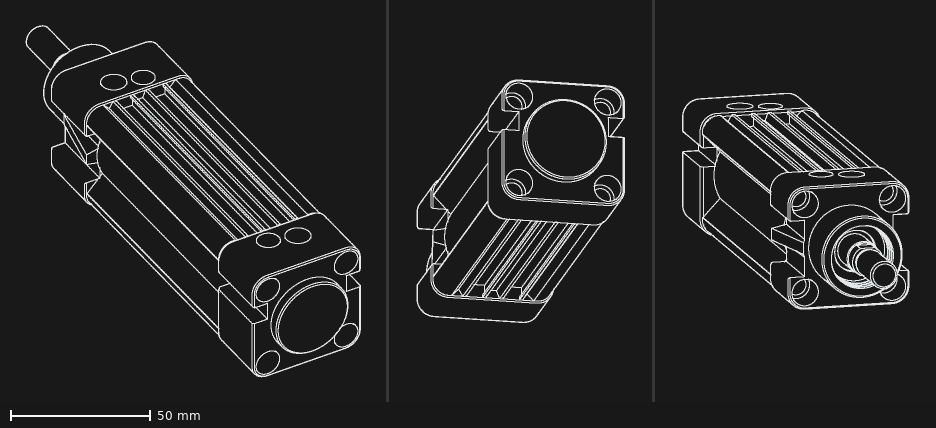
import cadquery as cq
import math


OVERALL_LENGTH = 196.0
SLEEVE_FRONT = 29.5
FRONT_CAP_FACE = 48.0
TUBE_START = 72.7
TUBE_END = 166.6
REAR_CAP_FACE = 191.9

CAP_WIDTH = 45.0
CAP_HALF = CAP_WIDTH / 2
SCREW_OFFSET = 16.3
CAP_CORNER_RADIUS = CAP_HALF - SCREW_OFFSET
CAP_EDGE_CHAMFER = 0.5
REAR_CAP_INNER_CHAMFER = 1.0
BOSS_DIAMETER = 30.0
BOSS_RADIUS = BOSS_DIAMETER / 2
BOSS_CHAMFER = 0.5

SCREW_HEAD_RADIUS = 4.9
SCREW_HEAD_DEPTH = 11.8
SCREW_CLEARANCE_RADIUS = 3.5
TUBE_SCREW_RADIUS = 2.5

NOTCH_FLOOR = 16.5
NOTCH_HALF_HEIGHT = 10.4
NOTCH_LIP_RADIUS = 1.0
REAR_NOTCH_BOTTOM = 3.3
RIB_BASE_HALF = 3.3
RIB_CREST_HALF = 2.2
RIB_FRONT_RISE = 0.4

PORT_OFFSET = 5.3
PORT_RADIUS = 4.7
FRONT_PORT_X = 63.5
REAR_PORT_X = 176.4
CUSHION_SCREW_SHIFT = 3.0
CUSHION_POCKET_RADIUS = 4.3
CUSHION_POCKET_DEPTH = 6.9
CUSHION_HOLE_RADIUS = 1.5
CAVITY_RADIUS = 10.8
CAVITY_DEPTH = 17.6

MOUTH_RADIUS = 11.5
MOUTH_STEP_COUNT = 3
MOUTH_STEP_LENGTH = 2.0
MOUTH_STEP_HEIGHT = 0.2
MOUTH_DEPTH = 9.8
WIPER_RADIUS = 7.6
WIPER_DEPTH = 11.8

TUBE_HALF = 22.0
TUBE_CORNER_RADIUS = TUBE_HALF - SCREW_OFFSET
BORE_RADIUS = 16.0
BARREL_RADIUS = 17.6
BARREL_EDGE_Z = 8.6
BARREL_EDGE_Y = math.sqrt(BARREL_RADIUS**2 - BARREL_EDGE_Z**2)
FLANK_LIP_Y = 21.8
FLANK_LIP_Z = 15.3
SLOT_INNER_Y = 3.7
SLOT_OUTER_Y = 9.8
SLOT_FLOOR_Z = 17.2
SLOT_LIP_Z = 21.0
SLOT_UNDERCUT = 0.8
VEE_INNER_Y = 11.0
VEE_BOTTOM_Y = 12.5
VEE_OUTER_Y = 15.0
VEE_DEPTH = VEE_OUTER_Y - VEE_BOTTOM_Y
TROUGH_TOP_HALF = 2.5
TROUGH_FLOOR_HALF = 1.4
TROUGH_DEPTH = 3.0

ROD_DIAMETER = 12.0
ROD_RADIUS = ROD_DIAMETER / 2
THREAD_DIAMETER = 10.0
THREAD_RADIUS = THREAD_DIAMETER / 2
THREAD_END = 19.8
TIP_CHAMFER = 0.8
NECK_RADIUS = 4.5
NECK_END = 22.3
FLATS_RADIUS = 5.7
FLATS_END = 27.5
FLATS_SECTION_END = 28.0
ACROSS_FLATS = 10.0
SHOULDER_LENGTH = 0.5


def cross_section(x):
    """Workplane across the axis at X = x, whose local axes are Y and Z."""
    return cq.Workplane("YZ", origin=(x, 0, 0))


def cylinder(x_start, x_end, radius):
    return cross_section(x_start).circle(radius).extrude(x_end - x_start)


def vertical_hole(x, y, radius, bottom):
    """Hole from the top of a cap down to the given height."""
    return cq.Workplane("XY", origin=(x, y, bottom)).circle(radius).extrude(CAP_HALF - bottom)


def corner_holes(x_start, x_end, radius):
    spacing = 2 * SCREW_OFFSET
    centres = cross_section(x_start).rect(spacing, spacing, forConstruction=True).vertices()
    return centres.circle(radius).extrude(x_end - x_start)


def rounded_bar(x_start, x_end, half_width, corner_radius):
    return (
        cross_section(x_start)
        .rect(2 * half_width, 2 * half_width)
        .extrude(x_end - x_start)
        .edges("|X")
        .fillet(corner_radius)
    )


def cap_block(x_start, x_end, start_chamfer, end_chamfer):
    block = rounded_bar(x_start, x_end, CAP_HALF, CAP_CORNER_RADIUS)
    return block.faces("<X").edges().chamfer(start_chamfer).faces(">X").edges().chamfer(end_chamfer)


def cap_screw_holes(outer_face, inner_face):
    """Counterbored corner holes, entered from the outer face."""
    inward = math.copysign(1, inner_face - outer_face)
    heads = corner_holes(outer_face, outer_face + inward * SCREW_HEAD_DEPTH, SCREW_HEAD_RADIUS)
    return heads.union(corner_holes(outer_face, inner_face, SCREW_CLEARANCE_RADIUS))


def port_and_cushion(port_x, port_y, cushion_x):
    """Port into the air cavity, and the cushion screw pocket on the other side of the axis."""
    axis_z = 0
    port = vertical_hole(port_x, port_y, PORT_RADIUS, axis_z)
    pocket_floor = CAP_HALF - CUSHION_POCKET_DEPTH
    pocket = vertical_hole(cushion_x, -port_y, CUSHION_POCKET_RADIUS, pocket_floor)
    screw_hole = vertical_hole(cushion_x, -port_y, CUSHION_HOLE_RADIUS, axis_z)
    return port.union(pocket).union(screw_hole)


def side_notch(x_start, x_end, side, bottom):
    """Notch in one cap side, from the given bottom up, with a rounded lip at its top."""
    notch = (
        cross_section(x_start)
        .moveTo(side * NOTCH_FLOOR, bottom)
        .lineTo(side * NOTCH_FLOOR, NOTCH_HALF_HEIGHT)
        .lineTo(side * (CAP_HALF - NOTCH_LIP_RADIUS), NOTCH_HALF_HEIGHT)
        .radiusArc((side * CAP_HALF, NOTCH_HALF_HEIGHT + NOTCH_LIP_RADIUS), -side * NOTCH_LIP_RADIUS)
        .lineTo(side * CAP_HALF, bottom)
        .close()
    )
    return notch.extrude(x_end - x_start)


def side_rib(side):
    """Rib in a front notch: tapered across, its crest ramping out from the notch floor."""

    def section(crest_y):
        return [
            (side * NOTCH_FLOOR, -RIB_BASE_HALF),
            (side * crest_y, -RIB_CREST_HALF),
            (side * crest_y, RIB_CREST_HALF),
            (side * NOTCH_FLOOR, RIB_BASE_HALF),
        ]

    return (
        cross_section(FRONT_CAP_FACE)
        .polyline(section(NOTCH_FLOOR + RIB_FRONT_RISE))
        .close()
        .workplane(offset=TUBE_START - FRONT_CAP_FACE)
        .polyline(section(CAP_HALF - CAP_EDGE_CHAMFER))
        .close()
        .loft(ruled=True)
    )


def sleeve_mouth():
    """Stepped recess around the rod, with a narrower wiper seat at its bottom."""
    mouth = cylinder(SLEEVE_FRONT, SLEEVE_FRONT + WIPER_DEPTH, WIPER_RADIUS)
    core_radius = MOUTH_RADIUS - MOUTH_STEP_COUNT * MOUTH_STEP_HEIGHT
    mouth = mouth.union(cylinder(SLEEVE_FRONT, SLEEVE_FRONT + MOUTH_DEPTH, core_radius))
    for step in range(MOUTH_STEP_COUNT):
        step_end = SLEEVE_FRONT + (step + 1) * MOUTH_STEP_LENGTH
        mouth = mouth.union(cylinder(SLEEVE_FRONT, step_end, MOUTH_RADIUS - step * MOUTH_STEP_HEIGHT))
    return mouth


def make_front_cap():
    cap = cap_block(FRONT_CAP_FACE, TUBE_START, CAP_EDGE_CHAMFER, CAP_EDGE_CHAMFER)
    for side in (-1, 1):
        upper_notch = side_notch(FRONT_CAP_FACE, TUBE_START, side, 0)
        cap = cap.cut(upper_notch).cut(upper_notch.mirror("XY"))
        cap = cap.union(side_rib(side))
    sleeve = cylinder(SLEEVE_FRONT, FRONT_CAP_FACE, BOSS_RADIUS)
    cap = cap.union(sleeve.faces("<X").edges().chamfer(BOSS_CHAMFER))
    cap = cap.cut(cap_screw_holes(FRONT_CAP_FACE, TUBE_START))
    cap = cap.cut(port_and_cushion(FRONT_PORT_X, -PORT_OFFSET, FRONT_PORT_X + CUSHION_SCREW_SHIFT))
    cap = cap.cut(cylinder(TUBE_START - CAVITY_DEPTH, TUBE_START, CAVITY_RADIUS))
    cap = cap.cut(sleeve_mouth())
    return cap.cut(cylinder(SLEEVE_FRONT, TUBE_START, ROD_RADIUS))


def make_rear_cap():
    cap = cap_block(TUBE_END, REAR_CAP_FACE, REAR_CAP_INNER_CHAMFER, CAP_EDGE_CHAMFER)
    for side in (-1, 1):
        cap = cap.cut(side_notch(TUBE_END, REAR_CAP_FACE, side, REAR_NOTCH_BOTTOM))
    boss = cylinder(REAR_CAP_FACE, OVERALL_LENGTH, BOSS_RADIUS)
    cap = cap.union(boss.faces(">X").edges().chamfer(BOSS_CHAMFER))
    cap = cap.cut(cap_screw_holes(REAR_CAP_FACE, TUBE_END))
    cap = cap.cut(port_and_cushion(REAR_PORT_X, PORT_OFFSET, REAR_PORT_X - CUSHION_SCREW_SHIFT))
    return cap.cut(cylinder(TUBE_END, TUBE_END + CAVITY_DEPTH, CAVITY_RADIUS))


def tube_groove(outline):
    return outline.close().extrude(TUBE_END - TUBE_START)


def tube_side_groove(side):
    """Side hollow with sloping flanks that leaves the round barrel standing."""
    return tube_groove(
        cross_section(TUBE_START)
        .moveTo(side * TUBE_HALF, FLANK_LIP_Z)
        .lineTo(side * FLANK_LIP_Y, FLANK_LIP_Z)
        .lineTo(side * BARREL_EDGE_Y, BARREL_EDGE_Z)
        .threePointArc((side * BARREL_RADIUS, 0), (side * BARREL_EDGE_Y, -BARREL_EDGE_Z))
        .lineTo(side * FLANK_LIP_Y, -FLANK_LIP_Z)
        .lineTo(side * TUBE_HALF, -FLANK_LIP_Z)
    )


def tube_face_grooves():
    """Outlines of the grooves in the top of the tube: trough, undercut sensor slots and vees."""
    outlines = [
        [
            (-TROUGH_TOP_HALF, TUBE_HALF),
            (-TROUGH_FLOOR_HALF, TUBE_HALF - TROUGH_DEPTH),
            (TROUGH_FLOOR_HALF, TUBE_HALF - TROUGH_DEPTH),
            (TROUGH_TOP_HALF, TUBE_HALF),
        ]
    ]
    for side in (-1, 1):
        outlines.append([
            (side * SLOT_INNER_Y, TUBE_HALF),
            (side * SLOT_INNER_Y, SLOT_LIP_Z),
            (side * (SLOT_INNER_Y - SLOT_UNDERCUT), SLOT_LIP_Z),
            (side * (SLOT_INNER_Y - SLOT_UNDERCUT), SLOT_FLOOR_Z),
            (side * (SLOT_OUTER_Y + SLOT_UNDERCUT), SLOT_FLOOR_Z),
            (side * (SLOT_OUTER_Y + SLOT_UNDERCUT), SLOT_LIP_Z),
            (side * SLOT_OUTER_Y, SLOT_LIP_Z),
            (side * SLOT_OUTER_Y, TUBE_HALF),
        ])
        outlines.append([
            (side * VEE_INNER_Y, TUBE_HALF),
            (side * VEE_BOTTOM_Y, TUBE_HALF - VEE_DEPTH),
            (side * VEE_OUTER_Y, TUBE_HALF),
        ])
    return outlines


def make_tube():
    tube = rounded_bar(TUBE_START, TUBE_END, TUBE_HALF, TUBE_CORNER_RADIUS)
    for side in (-1, 1):
        tube = tube.cut(tube_side_groove(side))
    for outline in tube_face_grooves():
        groove = tube_groove(cross_section(TUBE_START).polyline(outline))
        tube = tube.cut(groove).cut(groove.mirror("XY"))
    tube = tube.cut(corner_holes(TUBE_START, TUBE_END, TUBE_SCREW_RADIUS))
    return tube.cut(cylinder(TUBE_START, TUBE_END, BORE_RADIUS))


def make_rod():
    rod = (
        cq.Workplane("XZ")
        .moveTo(0, 0)
        .lineTo(0, THREAD_RADIUS - TIP_CHAMFER)
        .lineTo(TIP_CHAMFER, THREAD_RADIUS)
        .lineTo(THREAD_END, THREAD_RADIUS)
        .lineTo(THREAD_END, NECK_RADIUS)
        .lineTo(NECK_END, NECK_RADIUS)
        .lineTo(NECK_END, FLATS_RADIUS)
        .lineTo(FLATS_SECTION_END, FLATS_RADIUS)
        .lineTo(FLATS_SECTION_END + SHOULDER_LENGTH, ROD_RADIUS)
        .lineTo(TUBE_START, ROD_RADIUS)
        .lineTo(TUBE_START, 0)
        .close()
        .revolve(360, (0, 0, 0), (1, 0, 0))
    )
    flats_length = FLATS_END - NECK_END
    for side in (-1, 1):
        waste = cq.Workplane("XY").box(flats_length, 2 * ROD_RADIUS, ROD_RADIUS, centered=(False, True, True))
        rod = rod.cut(waste.translate((NECK_END, 0, side * (ACROSS_FLATS + ROD_RADIUS) / 2)))
    return rod


front_cap = make_front_cap()
rear_cap = make_rear_cap()
tube = make_tube()
rod = make_rod()

result = cq.Compound.makeCompound([front_cap.val(), rear_cap.val(), tube.val(), rod.val()])